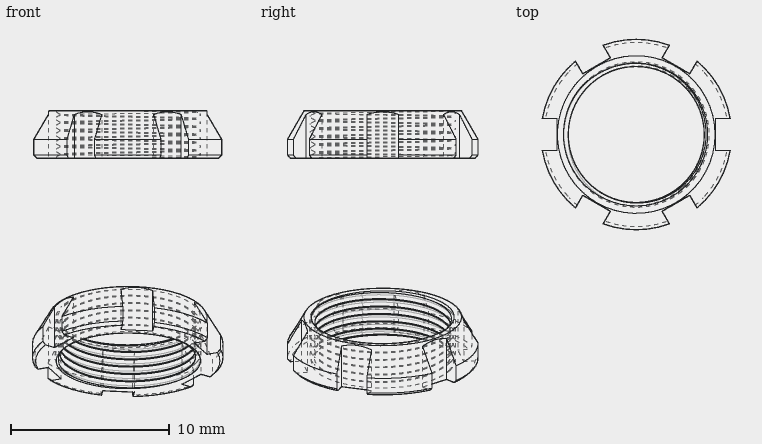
import cadquery as cq
import math

outer_diameter = 12.0
height = 3.0
rim_height = 1.2
cone_angle = 30.0
bottom_chamfer = 0.2

slot_count = 6
slot_width = 2.0
slot_floor_radius = 5.0

bore_diameter = 8.55
pitch = 0.5
flank_angle = 30.0
crest_width = pitch / 8
root_width = pitch / 4
thread_root_angle = 180.0
thread_turns = round(height / pitch) + 3
turn_start_fraction = 0.6
groove_overlap = 0.02

lead_in_diameter = 9.0
lead_in_angle = 45.0

outer_radius = outer_diameter / 2
top_radius = outer_radius - (height - rim_height) * math.tan(math.radians(cone_angle))
bore_radius = bore_diameter / 2
flank_height = (pitch - crest_width - root_width) / 2
thread_depth = flank_height / math.tan(math.radians(flank_angle))
root_edge_radius = bore_radius + thread_depth
root_arc_radius = root_width / 2 / math.cos(math.radians(flank_angle))
root_bottom_radius = root_edge_radius + root_arc_radius * (1 - math.sin(math.radians(flank_angle)))
lead_in_radius = lead_in_diameter / 2


def ring_blank():
    """Ring with a conical upper side, a cylindrical rim and a chamfered lower edge."""
    profile = [
        (bore_radius, 0),
        (outer_radius - bottom_chamfer, 0),
        (outer_radius, bottom_chamfer),
        (outer_radius, rim_height),
        (top_radius, height),
        (bore_radius, height),
    ]
    return cq.Workplane("XZ").polyline(profile).close().revolve(360, (0, 0, 0), (0, 1, 0))


def slot_cutters():
    """Rectangular cutters around the rim, each with a flat floor."""
    depth = outer_radius
    return (
        cq.Workplane("XY")
        .polarArray(slot_floor_radius + depth / 2, 0, 360, slot_count)
        .rect(depth, slot_width)
        .extrude(height)
    )


def groove_turn():
    """One turn of the thread groove; its end sections are kept clear of the faces of the ring."""
    inner_radius = bore_radius - groove_overlap
    mouth_half = root_width / 2 + flank_height + groove_overlap * math.tan(math.radians(flank_angle))
    section = (
        cq.Workplane("XZ")
        .moveTo(inner_radius, -mouth_half)
        .lineTo(root_edge_radius, -root_width / 2)
        .threePointArc((root_bottom_radius, 0), (root_edge_radius, root_width / 2))
        .lineTo(inner_radius, mouth_half)
        .close()
    )
    helix = cq.Workplane(cq.Wire.makeHelix(pitch, pitch, bore_radius))
    turn = section.sweep(helix, isFrenet=True)
    start_angle = thread_root_angle + 360 * turn_start_fraction
    return turn.rotate((0, 0, 0), (0, 0, 1), start_angle).translate((0, 0, pitch * turn_start_fraction))


def cut_thread(ring):
    """Cut the groove turn by turn, running out past both faces of the ring."""
    turn = groove_turn()
    for index in range(thread_turns):
        ring = ring.cut(turn.translate((0, 0, (index - 2) * pitch)), clean=False)
    return ring


def lead_in_cones():
    """Two cones that bevel the ends of the thread."""
    depth = lead_in_radius / math.tan(math.radians(lead_in_angle))
    lower = cq.Workplane(cq.Solid.makeCone(lead_in_radius, 0, depth))
    upper = lower.mirror("XY").translate((0, 0, height))
    return lower, upper


nut = cut_thread(ring_blank())
for cone in lead_in_cones():
    nut = nut.cut(cone)
result = cq.Workplane(nut.cut(slot_cutters()).solids().val())